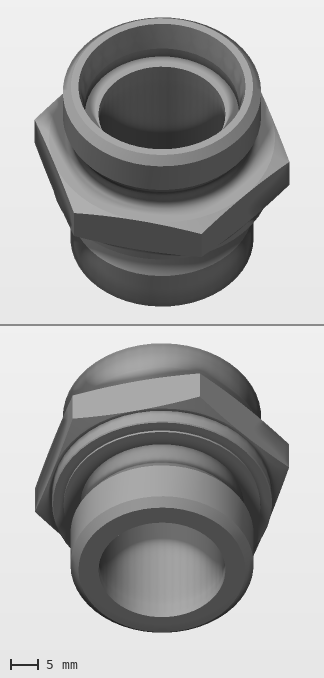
import cadquery as cq
import math

total_height = 43.0
ring_bottom_z = 17.55
flange_bottom_z = 18.0
hex_bottom_z = 20.95
hex_top_z = 28.95

hex_corner_diameter = 47.35
hex_flat_width = hex_corner_diameter * math.cos(math.radians(30))
hex_chamfer_angle = 15.0

bore_diameter = 23.0
flange_diameter = 39.9
flange_edge_chamfer = 0.2
end_chamfer = 1.45
shoulder_angle = 30.0

lower_diameter = 33.25
lower_neck_diameter = 29.6
lower_shoulder_z = 9.85
lower_neck_fillet = 1.55

upper_diameter = 36.0
upper_neck_diameter = 33.0
upper_shoulder_z = 35.05
upper_neck_fillet = 1.25

socket_diameter = 28.0
socket_mouth_diameter = 30.3
socket_depth = 7.6
socket_cone_angle = 12.0

ring_outer_diameter = 35.7
ring_inner_diameter = 29.7


def shoulder_length(large_diameter, small_diameter):
    """Axial length of a conical shoulder between two diameters."""
    return (large_diameter - small_diameter) / 2 / math.tan(math.radians(shoulder_angle))


def revolve_profile(points):
    """Revolve a closed (radius, z) outline about the Z axis."""
    return cq.Workplane("XZ").polyline(points).close().revolve(360, (0, 0), (0, 1))


def circle_at(diameter, z):
    """Selector for a circular edge about the Z axis."""
    margin = 0.05
    reach = diameter / 2 + margin
    return cq.selectors.BoxSelector(
        (-reach, -reach, z - margin), (reach, reach, z + margin), boundingbox=True
    )


def make_lower_end():
    radius = lower_diameter / 2
    neck_radius = lower_neck_diameter / 2
    neck_z = lower_shoulder_z + shoulder_length(lower_diameter, lower_neck_diameter)
    end = revolve_profile([
        (0, 0),
        (radius - end_chamfer, 0),
        (radius, end_chamfer),
        (radius, lower_shoulder_z),
        (neck_radius, neck_z),
        (neck_radius, flange_bottom_z),
        (0, flange_bottom_z),
    ])
    neck_corner = circle_at(lower_neck_diameter, neck_z)
    return end.edges(neck_corner).fillet(lower_neck_fillet)


def make_flange():
    flange = (
        cq.Workplane("XY", origin=(0, 0, flange_bottom_z))
        .circle(flange_diameter / 2)
        .extrude(hex_bottom_z - flange_bottom_z)
    )
    return flange.faces("<Z").edges().chamfer(flange_edge_chamfer)


def make_hexagon():
    """Hexagonal prism with both sets of corners turned to a shallow cone."""
    prism = (
        cq.Workplane("XY", origin=(0, 0, hex_bottom_z))
        .polygon(6, hex_corner_diameter)
        .extrude(hex_top_z - hex_bottom_z)
        .rotate((0, 0, 0), (0, 0, 1), 30)
    )
    flat_radius = hex_flat_width / 2
    corner_radius = hex_corner_diameter / 2
    corner_drop = (corner_radius - flat_radius) * math.tan(math.radians(hex_chamfer_angle))
    turned_envelope = revolve_profile([
        (0, hex_bottom_z),
        (flat_radius, hex_bottom_z),
        (corner_radius, hex_bottom_z + corner_drop),
        (corner_radius, hex_top_z - corner_drop),
        (flat_radius, hex_top_z),
        (0, hex_top_z),
    ])
    return prism.intersect(turned_envelope)


def make_upper_end():
    radius = upper_diameter / 2
    neck_radius = upper_neck_diameter / 2
    neck_z = upper_shoulder_z - shoulder_length(upper_diameter, upper_neck_diameter)
    end = revolve_profile([
        (0, hex_top_z),
        (neck_radius, hex_top_z),
        (neck_radius, neck_z),
        (radius, upper_shoulder_z),
        (radius, total_height - end_chamfer),
        (radius - end_chamfer, total_height),
        (0, total_height),
    ])
    neck_corner = circle_at(upper_neck_diameter, neck_z)
    return end.edges(neck_corner).fillet(upper_neck_fillet)


def make_passage():
    """Through bore, tube socket and conical socket mouth as one cutter."""
    bore_radius = bore_diameter / 2
    socket_radius = socket_diameter / 2
    mouth_radius = socket_mouth_diameter / 2
    cone_length = (mouth_radius - socket_radius) / math.tan(math.radians(socket_cone_angle))
    socket_floor_z = total_height - socket_depth
    return revolve_profile([
        (0, 0),
        (bore_radius, 0),
        (bore_radius, socket_floor_z),
        (socket_radius, socket_floor_z),
        (socket_radius, total_height - cone_length),
        (mouth_radius, total_height),
        (0, total_height),
    ])


def make_fitting():
    fitting = make_lower_end().union(make_flange()).union(make_hexagon()).union(make_upper_end())
    hex_root = circle_at(upper_neck_diameter, hex_top_z)
    fitting = fitting.edges(hex_root).fillet(upper_neck_fillet)
    return fitting.cut(make_passage())


def make_sealing_ring():
    """Flat ring around the lower neck, seated against the flange."""
    return (
        cq.Workplane("XY", origin=(0, 0, ring_bottom_z))
        .circle(ring_outer_diameter / 2)
        .circle(ring_inner_diameter / 2)
        .extrude(flange_bottom_z - ring_bottom_z)
    )


fitting = make_fitting()
sealing_ring = make_sealing_ring()

result = cq.Compound.makeCompound([fitting.val(), sealing_ring.val()])